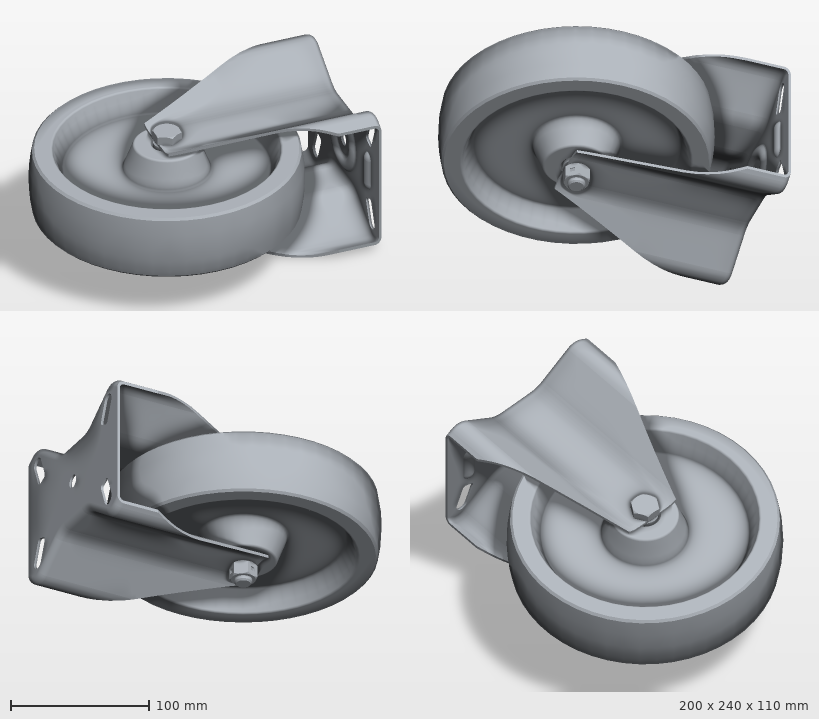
import cadquery as cq
import math


OVERALL_LENGTH = 240.0
OVERALL_HEIGHT = 110.0

WHEEL_DIAMETER = 200.0
WHEEL_WIDTH = 50.0
SHOULDER_RADIUS = 97.5
SHOULDER_CHAMFER = 1.7
RIM_INNER_RADIUS = 83.0
POCKET_FLOOR_RADIUS = 75.0
WEB_THICKNESS = 15.8
HUB_BASE_RADIUS = 32.2
HUB_TOP_RADIUS = 24.2
HUB_LENGTH = 58.0
WHEEL_FILLET = 2.0
BORE_CHAMFER = 1.7

TUBE_RADIUS = 10.0

BOLT_RADIUS = 6.5
BOLT_TIP_Z = -47.3
BOLT_TIP_CHAMFER = 1.2
HEAD_ACROSS_FLATS = 19.0
HEAD_HEIGHT = 6.7
HEAD_CHAMFER = 1.0
WASHER_FACE_RADIUS = 9.0
WASHER_FACE_HEIGHT = 0.5

NUT_ACROSS_FLATS = 18.0
NUT_HEIGHT = 11.0
NUT_CHAMFER = 1.2
NUT_TURN = -9
NUT_RECESS_WIDTH = 4.0
NUT_RECESS_HEIGHT = 3.0
NUT_RECESS_DEPTH = 0.7
NUT_RECESS_COUNT = 3

SHEET = 2.0
BRACKET_WIDTH = 134.9
LEG_OUTER_Z = 32.6
SLOPE = math.radians(33.9)
VALLEY_RADIUS = 20.2
CREST_RADIUS = 13.5
CREST_X = 56.9
PLATE_BEND_RADIUS = 5.3
LEG_END_Y = -8.2
LEG_END_HALF_WIDTH = 22.8
TAPER_START_Y = 106.5
TAPER_MID_X = 41.8
TAPER_MID_Y = 44.0

PLATE_HOLE_RADIUS = 5.0
SLOT_WIDTH = 10.5
SLOT_LENGTH = 18.0
SLOT_TILT = 21.6
SLOT_CORNER_RADIUS = 2.6
SLOT_OUTER_X = 53.3
SLOT_OUTER_Z = 40.3
BEAD_HEIGHT = 2.9
RING_RADIUS = 18.2
RING_HALF_WIDTH = 5.5
RING_FOOT_FILLET = 1.2
RIB_X = 46.5
RIB_HALF_WIDTH = 5.3
RIB_STRAIGHT_LENGTH = 20.2

WHEEL_RADIUS = WHEEL_DIAMETER / 2
CREST_Z = OVERALL_HEIGHT / 2
LEG_INNER_Z = LEG_OUTER_Z - SHEET
HALF_WIDTH = BRACKET_WIDTH / 2
PLATE_OUTER_Y = OVERALL_LENGTH - WHEEL_RADIUS
PLATE_INNER_Y = PLATE_OUTER_Y - SHEET


def circles_of_radius(part, *radii):
    """Select the circular edges of a part that have one of the given radii."""
    return part.edges("%CIRCLE").filter(
        lambda edge: any(math.isclose(edge.radius(), radius, abs_tol=0.0002) for radius in radii)
    )


def make_wheel():
    half_width = WHEEL_WIDTH / 2
    half_web = WEB_THICKNESS / 2
    half_hub = HUB_LENGTH / 2
    shoulder_z = half_width - SHOULDER_CHAMFER
    face_radius = SHOULDER_RADIUS - SHOULDER_CHAMFER
    wheel = (
        cq.Workplane("XZ")
        .moveTo(TUBE_RADIUS, -half_hub)
        .lineTo(HUB_TOP_RADIUS, -half_hub)
        .lineTo(HUB_BASE_RADIUS, -half_web)
        .lineTo(POCKET_FLOOR_RADIUS, -half_web)
        .lineTo(RIM_INNER_RADIUS, -half_width)
        .lineTo(face_radius, -half_width)
        .lineTo(SHOULDER_RADIUS, -shoulder_z)
        .threePointArc((WHEEL_RADIUS, 0), (SHOULDER_RADIUS, shoulder_z))
        .lineTo(face_radius, half_width)
        .lineTo(RIM_INNER_RADIUS, half_width)
        .lineTo(POCKET_FLOOR_RADIUS, half_web)
        .lineTo(HUB_BASE_RADIUS, half_web)
        .lineTo(HUB_TOP_RADIUS, half_hub)
        .lineTo(TUBE_RADIUS, half_hub)
        .close()
        .revolve(360, (0, 0, 0), (0, 1, 0))
    )
    rounded = (HUB_TOP_RADIUS, HUB_BASE_RADIUS, POCKET_FLOOR_RADIUS, RIM_INNER_RADIUS)
    wheel = circles_of_radius(wheel, *rounded).fillet(WHEEL_FILLET)
    return circles_of_radius(wheel, TUBE_RADIUS).chamfer(BORE_CHAMFER)


def make_axle_tube():
    return cq.Workplane("XY").circle(TUBE_RADIUS).circle(BOLT_RADIUS).extrude(LEG_INNER_Z, both=True)


def make_hexagon(across_flats, height, chamfered_faces, chamfer):
    """Hexagonal prism standing on Z = 0, its corners cut back by cones on the given faces."""
    corner_radius = across_flats / 2 / math.cos(math.pi / 6)
    corner_inset = corner_radius - across_flats / 2
    turned_blank = (
        cq.Workplane("XY")
        .circle(corner_radius)
        .extrude(height)
        .faces(chamfered_faces)
        .chamfer(chamfer, corner_inset)
    )
    return cq.Workplane("XY").polygon(6, 2 * corner_radius).extrude(height).intersect(turned_blank)


def make_bolt():
    shank = (
        cq.Workplane("XY", origin=(0, 0, BOLT_TIP_Z))
        .circle(BOLT_RADIUS)
        .extrude(LEG_OUTER_Z - BOLT_TIP_Z)
        .faces("<Z")
        .chamfer(BOLT_TIP_CHAMFER)
    )
    washer_face = (
        cq.Workplane("XY", origin=(0, 0, LEG_OUTER_Z))
        .circle(WASHER_FACE_RADIUS)
        .extrude(WASHER_FACE_HEIGHT)
    )
    head = make_hexagon(HEAD_ACROSS_FLATS, HEAD_HEIGHT, ">Z", HEAD_CHAMFER)
    head = head.translate((0, 0, LEG_OUTER_Z + WASHER_FACE_HEIGHT))
    return shank.union(washer_face).union(head)


def make_nut():
    nut = make_hexagon(NUT_ACROSS_FLATS, NUT_HEIGHT, "<Z or >Z", NUT_CHAMFER)
    nut = nut.cut(cq.Workplane("XY").circle(BOLT_RADIUS).extrude(NUT_HEIGHT))
    recess = (
        cq.Workplane("XY")
        .box(2 * NUT_RECESS_DEPTH, NUT_RECESS_WIDTH, NUT_RECESS_HEIGHT)
        .translate((NUT_ACROSS_FLATS / 2, 0, NUT_HEIGHT / 2))
    )
    for index in range(NUT_RECESS_COUNT):
        flat_angle = -30 + index * 360 / NUT_RECESS_COUNT
        nut = nut.cut(recess.rotate((0, 0, 0), (0, 0, 1), flat_angle))
    return nut.rotate((0, 0, 0), (0, 0, 1), NUT_TURN).translate((0, 0, -LEG_OUTER_Z - NUT_HEIGHT))


def make_leg_block(inset, half_width, end_y):
    """Solid block with the bow-tie section of the bracket, its end edges rounded for the plate bend.

    The section is the outer face of the sheet moved inwards by the inset.
    """
    valley_z = LEG_OUTER_Z - inset
    crest_z = CREST_Z - inset
    valley_radius = VALLEY_RADIUS + inset
    crest_radius = CREST_RADIUS - inset

    def valley_point(angle):
        return valley_radius * math.sin(angle), valley_z + valley_radius * (1 - math.cos(angle))

    def crest_point(angle):
        return CREST_X + crest_radius * math.sin(angle), crest_z - crest_radius * (1 - math.cos(angle))

    slope_start_x, slope_start_z = valley_point(SLOPE)
    slope_end_x, slope_end_z = crest_point(-SLOPE)
    slope_run = (slope_end_z - slope_start_z) / math.tan(SLOPE)
    flat_half_width = slope_end_x - slope_run - slope_start_x
    valley_mid_x, valley_mid_z = valley_point(SLOPE / 2)
    tail_x, tail_z = crest_point(SLOPE)
    edge_z = tail_z - (half_width - tail_x) * math.tan(SLOPE)

    quarter = (
        cq.Workplane("XZ", origin=(0, -WHEEL_RADIUS, 0))
        .lineTo(0, valley_z)
        .lineTo(flat_half_width, valley_z)
        .threePointArc(
            (flat_half_width + valley_mid_x, valley_mid_z),
            (flat_half_width + slope_start_x, slope_start_z),
        )
        .lineTo(slope_end_x, slope_end_z)
        .threePointArc((CREST_X, crest_z), (tail_x, tail_z))
        .lineTo(half_width, edge_z)
        .lineTo(half_width, 0)
        .close()
        .extrude(-WHEEL_RADIUS - end_y)
    )
    half = quarter.union(quarter.mirror("YZ"))
    block = half.union(half.mirror("XY")).clean()
    return block.faces(">Y").edges("not |Z").fillet(PLATE_BEND_RADIUS - inset)


def make_leg_outline():
    """Prism that trims the legs to their curved taper towards the axle."""
    return (
        cq.Workplane("XY")
        .moveTo(-LEG_END_HALF_WIDTH, LEG_END_Y)
        .lineTo(LEG_END_HALF_WIDTH, LEG_END_Y)
        .threePointArc((TAPER_MID_X, TAPER_MID_Y), (HALF_WIDTH, TAPER_START_Y))
        .lineTo(HALF_WIDTH, PLATE_OUTER_Y)
        .lineTo(-HALF_WIDTH, PLATE_OUTER_Y)
        .lineTo(-HALF_WIDTH, TAPER_START_Y)
        .threePointArc((-TAPER_MID_X, TAPER_MID_Y), (-LEG_END_HALF_WIDTH, LEG_END_Y))
        .close()
        .extrude(OVERALL_HEIGHT, both=True)
    )


def make_slot():
    """Cutter for the slot at +X +Z: round at its outer end, square with small corners at its inner end."""
    half_slot = SLOT_WIDTH / 2
    return (
        cq.Workplane("XZ", origin=(0, PLATE_OUTER_Y, 0))
        .moveTo(half_slot, 0)
        .threePointArc((0, half_slot), (-half_slot, 0))
        .lineTo(-half_slot, -SLOT_LENGTH)
        .lineTo(half_slot, -SLOT_LENGTH)
        .close()
        .extrude(2 * SHEET)
        .edges("|Y and <Z")
        .fillet(SLOT_CORNER_RADIUS)
        .rotate((0, 0, 0), (0, 1, 0), SLOT_TILT)
        .translate((SLOT_OUTER_X, 0, SLOT_OUTER_Z))
    )


def make_ring():
    """Round-backed ring bead about the middle of the plate."""
    return (
        cq.Workplane("XY")
        .moveTo(RING_RADIUS - RING_HALF_WIDTH, PLATE_INNER_Y)
        .threePointArc(
            (RING_RADIUS, PLATE_INNER_Y - BEAD_HEIGHT),
            (RING_RADIUS + RING_HALF_WIDTH, PLATE_INNER_Y),
        )
        .close()
        .revolve(360, (0, 0, 0), (0, 1, 0))
    )


def make_rib():
    """Straight round-backed bead along Z with ends that are parts of a ball."""
    ball_radius = (RIB_HALF_WIDTH**2 + BEAD_HEIGHT**2) / (2 * BEAD_HEIGHT)
    half_length = RIB_STRAIGHT_LENGTH / 2
    axis_y = PLATE_INNER_Y - BEAD_HEIGHT + ball_radius
    rib = cq.Workplane("XY").center(RIB_X, axis_y).circle(ball_radius).extrude(half_length, both=True)
    for z in (-half_length, half_length):
        rib = rib.union(cq.Workplane("XY").sphere(ball_radius).translate((RIB_X, axis_y, z)))
    in_front_of_plate = cq.Workplane("XY").box(
        OVERALL_LENGTH, PLATE_INNER_Y, OVERALL_HEIGHT, centered=(True, False, True)
    )
    return rib.intersect(in_front_of_plate)


def make_bracket():
    outer = make_leg_block(0, HALF_WIDTH, PLATE_OUTER_Y)
    inner = make_leg_block(SHEET, HALF_WIDTH + SHEET, PLATE_INNER_Y)
    bracket = outer.cut(inner).intersect(make_leg_outline())

    bracket = bracket.cut(cq.Workplane("XY").circle(BOLT_RADIUS).extrude(CREST_Z, both=True))
    bracket = bracket.cut(cq.Workplane("XZ").circle(PLATE_HOLE_RADIUS).extrude(-OVERALL_LENGTH))

    slot = make_slot()
    for cutter in (slot, slot.mirror("YZ")):
        bracket = bracket.cut(cutter).cut(cutter.mirror("XY"))

    bracket = bracket.union(make_ring())
    foot_radii = (RING_RADIUS - RING_HALF_WIDTH, RING_RADIUS + RING_HALF_WIDTH)
    bracket = circles_of_radius(bracket, *foot_radii).fillet(RING_FOOT_FILLET)
    rib = make_rib()
    return bracket.union(rib).union(rib.mirror("YZ"))


bracket = make_bracket()
wheel = make_wheel()
axle_tube = make_axle_tube()
bolt = make_bolt()
nut = make_nut()

result = cq.Compound.makeCompound([bracket.val(), wheel.val(), axle_tube.val(), bolt.val(), nut.val()])